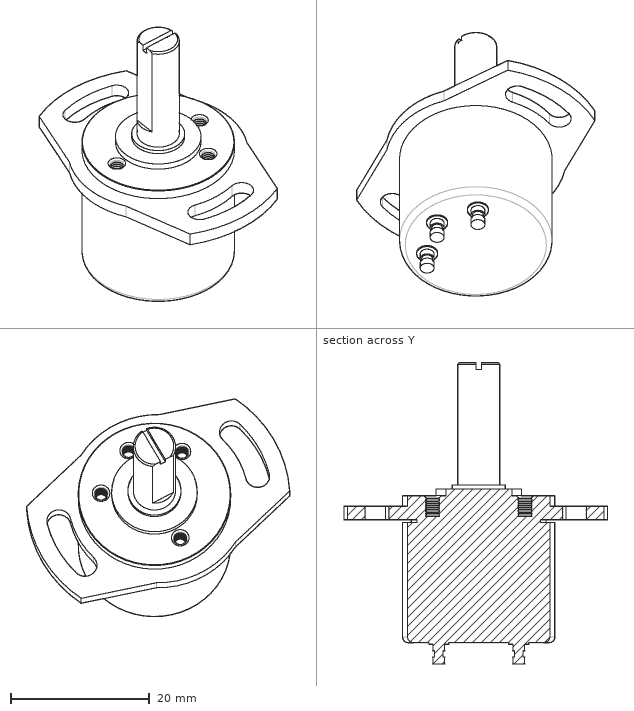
import cadquery as cq
import math

BODY_BOTTOM = 3.1
BODY_TOP = 20.4
FLANGE_BOTTOM = 20.75
FLANGE_THICKNESS = 2.0
FLANGE_TOP = FLANGE_BOTTOM + FLANGE_THICKNESS
DISC_TOP = 24.3
BOSS_TOP = 25.25
COLLAR_TOP = 25.8
SHAFT_TOP = 43.45

BODY_RADIUS = 11.0
BODY_EDGE_RADIUS = 0.83
NECK_RADIUS = 9.75
DISC_CHAMFER = 0.1
BOSS_RADIUS = 6.15
COLLAR_RADIUS = 3.82
SHAFT_RADIUS = 3.05
SHAFT_CHAMFER = 0.25

FLAT_DISTANCE = 2.5
FLAT_BOTTOM = 28.55
DRIVER_SLOT_WIDTH = 0.8
DRIVER_SLOT_DEPTH = 1.0

FLANGE_OFFSET_X = 0.45
FLANGE_OFFSET_Y = -0.35
FLANGE_END_RADIUS = 19.0
FLANGE_END_HALF_WIDTH = 8.13
FLANGE_MIDDLE_RADIUS = 13.0
FLANGE_SHOULDER_X = 6.47
SLOT_PATH_RADIUS = 14.75
SLOT_WIDTH = 3.45
SLOT_HALF_LENGTH = 5.6

HOLE_CIRCLE_RADIUS = 7.7
HOLE_ANGLES = (30, 90, 150, 270)
HOLE_MOUTH_RADIUS = 1.25
THREAD_ROOT_RADIUS = 1.0
THREAD_CREST_RADIUS = 0.85
THREAD_PITCH = 0.4
THREAD_TURNS = 7

PIN_CIRCLE_RADIUS = 7.2
PIN_ANGLES = (37, 90, 143)
PIN_BASE_RADIUS = 1.5
PIN_RADIUS = 1.0
PIN_GROOVE_RADIUS = 0.8
PIN_BASE_BOTTOM = 2.85
PIN_GROOVE_TOP = 1.9
PIN_GROOVE_BOTTOM = 1.05


def cylinder(radius, bottom, top):
    return cq.Workplane("XY").workplane(offset=bottom).circle(radius).extrude(top - bottom)


def polar(radius, angle):
    turn = math.radians(angle)
    return (radius * math.cos(turn), radius * math.sin(turn))


def make_housing():
    """Body, neck through the flange, and the stepped stages above the flange."""
    housing = cylinder(BODY_RADIUS, BODY_BOTTOM, BODY_TOP)
    housing = housing.faces("<Z").edges().fillet(BODY_EDGE_RADIUS)
    disc = cylinder(BODY_RADIUS, FLANGE_TOP, DISC_TOP)
    disc = disc.faces(">Z").edges().chamfer(DISC_CHAMFER)
    housing = housing.union(cylinder(NECK_RADIUS, BODY_TOP, FLANGE_TOP))
    housing = housing.union(disc)
    housing = housing.union(cylinder(BOSS_RADIUS, DISC_TOP, BOSS_TOP))
    return housing.union(cylinder(COLLAR_RADIUS, BOSS_TOP, COLLAR_TOP))


def make_shaft():
    shaft = cylinder(SHAFT_RADIUS, COLLAR_TOP, SHAFT_TOP).faces(">Z").edges().chamfer(SHAFT_CHAMFER)
    beyond_flat = cq.Workplane("XY").box(
        2 * SHAFT_RADIUS, SHAFT_RADIUS, SHAFT_TOP - FLAT_BOTTOM, centered=(True, False, False)
    ).translate((0, -FLAT_DISTANCE - SHAFT_RADIUS, FLAT_BOTTOM))
    driver_slot = cq.Workplane("XY").box(
        DRIVER_SLOT_WIDTH, 2 * SHAFT_RADIUS, DRIVER_SLOT_DEPTH, centered=(True, True, False)
    ).translate((0, 0, SHAFT_TOP - DRIVER_SLOT_DEPTH))
    return shaft.cut(beyond_flat).cut(driver_slot)


def make_curved_slot(middle):
    """Slot cutter along an arc about the flange centre, centred on the angle middle."""
    half_width = SLOT_WIDTH / 2
    half_angle = math.degrees(math.asin((SLOT_HALF_LENGTH - half_width) / SLOT_PATH_RADIUS))
    inner = SLOT_PATH_RADIUS - half_width
    outer = SLOT_PATH_RADIUS + half_width
    start = middle - half_angle
    end = middle + half_angle
    start_centre = cq.Vector(*polar(SLOT_PATH_RADIUS, start))
    end_centre = cq.Vector(*polar(SLOT_PATH_RADIUS, end))
    start_tip = start_centre + cq.Vector(*polar(half_width, start - 90))
    end_tip = end_centre + cq.Vector(*polar(half_width, end + 90))
    return (
        cq.Workplane("XY")
        .moveTo(*polar(outer, start))
        .threePointArc(polar(outer, middle), polar(outer, end))
        .threePointArc((end_tip.x, end_tip.y), polar(inner, end))
        .threePointArc(polar(inner, middle), polar(inner, start))
        .threePointArc((start_tip.x, start_tip.y), polar(outer, start))
        .close()
        .extrude(FLANGE_THICKNESS)
    )


def make_flange():
    corner_x = math.sqrt(FLANGE_END_RADIUS**2 - FLANGE_END_HALF_WIDTH**2)
    shoulder_y = math.sqrt(FLANGE_MIDDLE_RADIUS**2 - FLANGE_SHOULDER_X**2)
    flange = (
        cq.Workplane("XY")
        .moveTo(corner_x, -FLANGE_END_HALF_WIDTH)
        .threePointArc((FLANGE_END_RADIUS, 0), (corner_x, FLANGE_END_HALF_WIDTH))
        .lineTo(FLANGE_SHOULDER_X, shoulder_y)
        .threePointArc((0, FLANGE_MIDDLE_RADIUS), (-FLANGE_SHOULDER_X, shoulder_y))
        .lineTo(-corner_x, FLANGE_END_HALF_WIDTH)
        .threePointArc((-FLANGE_END_RADIUS, 0), (-corner_x, -FLANGE_END_HALF_WIDTH))
        .lineTo(-FLANGE_SHOULDER_X, -shoulder_y)
        .threePointArc((0, -FLANGE_MIDDLE_RADIUS), (FLANGE_SHOULDER_X, -shoulder_y))
        .close()
        .extrude(FLANGE_THICKNESS)
    )
    for middle in (0, 180):
        flange = flange.cut(make_curved_slot(middle))
    return flange.translate((FLANGE_OFFSET_X, FLANGE_OFFSET_Y, FLANGE_BOTTOM))


def make_mounting_hole(angle):
    """Hole cutter with a 45 degree mouth and the thread simplified to separate rings."""
    depth = HOLE_MOUTH_RADIUS - THREAD_ROOT_RADIUS
    profile = [(0, 0), (HOLE_MOUTH_RADIUS, 0), (THREAD_ROOT_RADIUS, -depth)]
    for _ in range(THREAD_TURNS):
        profile.append((THREAD_CREST_RADIUS, -depth - THREAD_PITCH / 2))
        depth += THREAD_PITCH
        profile.append((THREAD_ROOT_RADIUS, -depth))
    profile.append((0, -depth))
    hole = cq.Workplane("XZ").polyline(profile).close().revolve(360, (0, 0), (0, 1))
    return hole.translate(polar(HOLE_CIRCLE_RADIUS, angle) + (DISC_TOP,))


def make_pin(angle):
    pin = cylinder(PIN_RADIUS, 0, PIN_GROOVE_BOTTOM)
    pin = pin.union(cylinder(PIN_GROOVE_RADIUS, PIN_GROOVE_BOTTOM, PIN_GROOVE_TOP))
    pin = pin.union(cylinder(PIN_RADIUS, PIN_GROOVE_TOP, PIN_BASE_BOTTOM))
    pin = pin.union(cylinder(PIN_BASE_RADIUS, PIN_BASE_BOTTOM, BODY_BOTTOM))
    return pin.translate(polar(PIN_CIRCLE_RADIUS, angle) + (0,))


result = make_housing().union(make_shaft()).union(make_flange())
for hole_angle in HOLE_ANGLES:
    result = result.cut(make_mounting_hole(hole_angle))
for pin_angle in PIN_ANGLES:
    result = result.union(make_pin(pin_angle))